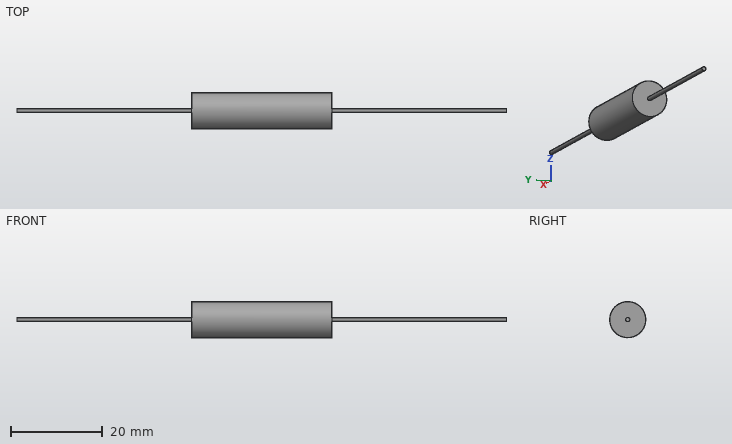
import cadquery as cq

overall_length = 106.7
body_length = 30.5
body_diameter = 7.9
lead_diameter = 0.91

lead_length = (overall_length - body_length) / 2


def rod_along_x(start_x, length, diameter):
    """Solid round rod on the X axis, running from start_x towards +X."""
    return cq.Workplane("YZ", origin=(start_x, 0, 0)).circle(diameter / 2).extrude(length)


def make_body():
    """Cylindrical body centred on the origin."""
    return rod_along_x(-body_length / 2, body_length, body_diameter)


def make_lead(start_x):
    """Wire lead whose inner end butts against an end face of the body."""
    return rod_along_x(start_x, lead_length, lead_diameter)


body = make_body()
lead_starts = [-overall_length / 2, body_length / 2]
leads = [make_lead(start_x) for start_x in lead_starts]

result = cq.Compound.makeCompound([body.val(), *[lead.val() for lead in leads]])